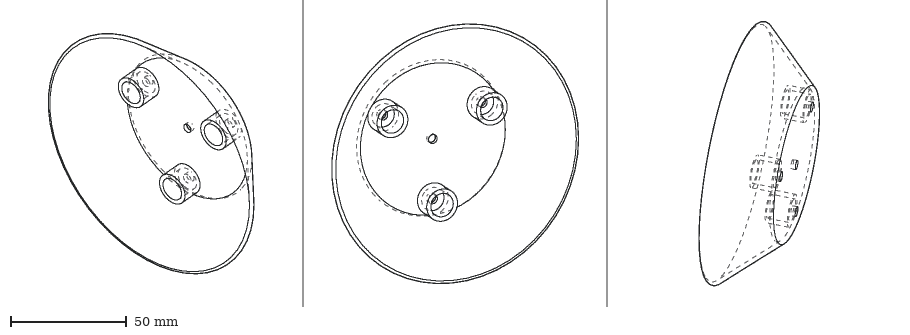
import cadquery as cq
import math

depth = 27.0
base_radius = 35.0
cone_angle = math.radians(42.0)
wall = 2.0
rim_fillet = 1.0

boss_count = 3
boss_circle_radius = 27.0
boss_first_angle = 30.0
boss_diameter = 14.5
boss_bore_diameter = 10.5
boss_height = 10.0
screw_hole_diameter = 4.3

center_hole_diameter = 4.0

slope = math.tan(cone_angle)
radial_wall = wall / math.cos(cone_angle)
rim_radius = base_radius + depth * slope
inner_rim_radius = rim_radius - radial_wall
floor_radius = base_radius + wall * slope - radial_wall


def cylinder(diameter, start, length, x=0.0, z=0.0):
    """Cylinder parallel to the dish axis, starting at Y = -start and running towards -Y."""
    return cq.Workplane("XZ", origin=(x, -start, z)).circle(diameter / 2).extrude(length)


def make_dish():
    profile = [
        (0, 0),
        (base_radius, 0),
        (rim_radius, -depth),
        (inner_rim_radius, -depth),
        (floor_radius, -wall),
        (0, -wall),
    ]
    dish = cq.Workplane("XY").polyline(profile).close().revolve(360, (0, 0), (0, 1))
    outer_rim_edge = cq.selectors.RadiusNthSelector(-1)
    return dish.edges("%CIRCLE").edges(outer_rim_edge).fillet(rim_fillet)


def boss_centers():
    angles = [math.radians(boss_first_angle + i * 360 / boss_count) for i in range(boss_count)]
    return [(boss_circle_radius * math.cos(a), boss_circle_radius * math.sin(a)) for a in angles]


def add_boss(body, x, z):
    """Add a counterbored boss, with its screw hole through the floor."""
    body = body.union(cylinder(boss_diameter, 0, wall + boss_height, x, z))
    body = body.cut(cylinder(boss_bore_diameter, wall, boss_height, x, z))
    return body.cut(cylinder(screw_hole_diameter, 0, wall, x, z))


result = make_dish()
for boss_x, boss_z in boss_centers():
    result = add_boss(result, boss_x, boss_z)
result = result.cut(cylinder(center_hole_diameter, 0, wall))